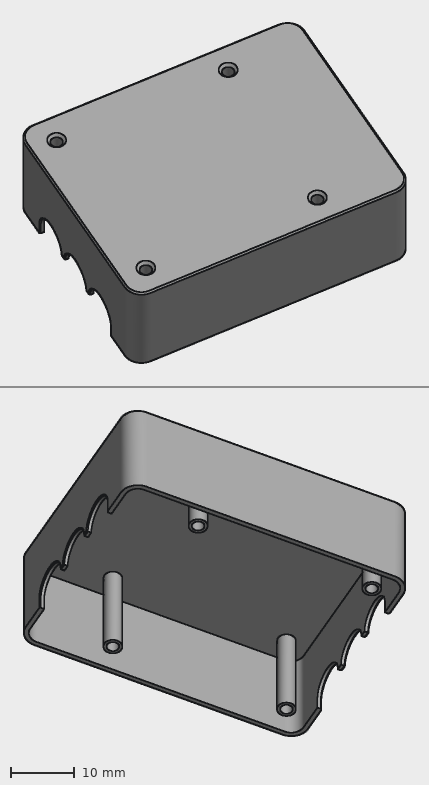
import cadquery as cq

width = 39.0
length = 49.6
height = 16.95
corner_radius = 3.0
wall = 0.8
lid_thickness = 1.0
top_chamfer = 0.3

notch_radius = 3.5
notch_pitch = 8.2
notch_center_z = 2.2
notch_chamfer = 0.2
notch_offsets = (-notch_pitch, 0, notch_pitch)
notch_half_width = notch_pitch + notch_radius
selection_margin = 0.05

hole_diameter = 2.0
hole_chamfer = 0.5
countersink_angle = 90
countersink_diameter = hole_diameter + 2 * hole_chamfer
post_diameter = countersink_diameter
post_bottom_z = 0.7
hole_edge_distance = 4.65
hole_pitch_y = 30.5
hole_x = width / 2 - hole_edge_distance
front_hole_y = hole_edge_distance - length / 2
back_hole_y = front_hole_y + hole_pitch_y
hole_points = [(x, y) for x in (-hole_x, hole_x) for y in (front_hole_y, back_hole_y)]


def make_body():
    """Rounded box with a chamfered top rim, hollowed from below."""
    outer = (
        cq.Workplane("XY")
        .rect(width, length)
        .extrude(height)
        .edges("|Z")
        .fillet(corner_radius)
        .faces(">Z")
        .edges()
        .chamfer(top_chamfer)
    )
    cavity = (
        cq.Workplane("XY")
        .rect(width - 2 * wall, length - 2 * wall)
        .extrude(height - lid_thickness)
        .edges("|Z")
        .fillet(corner_radius - wall)
    )
    return outer.cut(cavity)


def add_screw_posts(body):
    """Hang the posts from the lid, then drill them through and countersink the top."""
    posts = (
        cq.Workplane("XY", origin=(0, 0, post_bottom_z))
        .pushPoints(hole_points)
        .circle(post_diameter / 2)
        .extrude(height - lid_thickness - post_bottom_z)
    )
    return (
        body.union(posts)
        .faces(">Z")
        .workplane(origin=(0, 0, height))
        .pushPoints(hole_points)
        .cskHole(hole_diameter, countersink_diameter, countersink_angle)
    )


def cut_notches(body):
    """Cut three joined arches through both end walls and chamfer their outer edges."""
    opening = cq.Workplane("XY").box(
        2 * notch_half_width, length, notch_center_z, centered=(True, True, False)
    )
    arches = (
        cq.Workplane("XZ", origin=(0, length / 2, notch_center_z))
        .pushPoints([(x, 0) for x in notch_offsets])
        .circle(notch_radius)
        .extrude(length)
    )
    notched = body.cut(opening.union(arches))

    half_x = notch_half_width + selection_margin
    top_z = notch_center_z + notch_radius + selection_margin
    for end_y in (-length / 2, length / 2):
        notch_edges = cq.selectors.BoxSelector(
            (-half_x, end_y - selection_margin, selection_margin),
            (half_x, end_y + selection_margin, top_z),
        )
        notched = notched.edges(notch_edges).chamfer(notch_chamfer)
    return notched


result = cut_notches(add_screw_posts(make_body()))